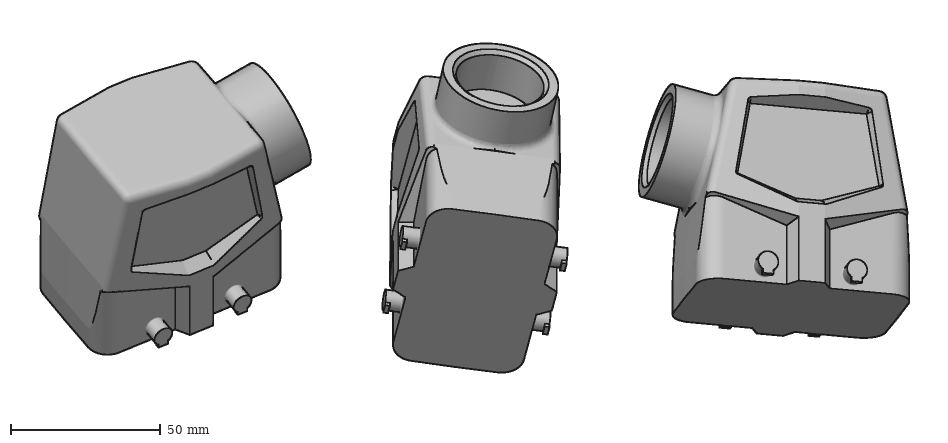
import cadquery as cq
import math

SKIRT_HALF_X = 22.3
SKIRT_HALF_Y = 37.0
SKIRT_CORNER_R = 7.7
TAPER_START_Z = 9.0

RIM_Z = 31.9
RIM_HALF_Y = 34.9
HOOD_TOP_Z = 72.4
HOOD_HALF_X = 27.1
END_LEAN = 10.8
CROWN = 0.5
SIDE_SLOPE = 0.15
HOOD_EDGE_R = 3.1

RIB_HALF_Y = 4.5
DRAFT = 31.5

UNDERSIDE_RISE_Y = 0.36
UNDERSIDE_RISE_X = 0.6
UNDERSIDE_Z = 21.0

POCKET_TOP_Z = 63.3
POCKET_TOP_HALF_Y = 20.2
POCKET_CORNER_Z = 38.0
POCKET_CORNER_HALF_Y = 24.5
POCKET_BOTTOM_Z = 31.0
POCKET_CORNER_R = 1.4

PEG_R = 3.5
PEG_Y = 15.4
PEG_Z = 5.6
PEG_END_X = 28.0
PEG_ROOT_R = 0.4
LUG_WIDTH = 3.65
LUG_THICKNESS = 1.65
LUG_BOTTOM_Z = 1.2

ENTRY_R = 19.7
ENTRY_MOUTH_Z = 55.35
ENTRY_BORE_R = 15.0
ENTRY_CHAMFER = 1.4
ENTRY_FILLET_R = 2.35

OVERALL_Y = 87.0
MARGIN = 8.7
TOLERANCE = 0.01
SELECT_CLEARANCE = 0.9

lean = math.radians(END_LEAN)
rib_depth = HOOD_HALF_X - SKIRT_HALF_X
rib_root_half_y = RIB_HALF_Y + rib_depth * math.tan(math.radians(DRAFT))
hood_base_half_y = RIM_HALF_Y + RIM_Z * math.tan(lean)
hood_top_half_y = RIM_HALF_Y - (HOOD_TOP_Z - RIM_Z) * math.tan(lean)


def mirrored_y(points):
    """Complete an outline in the YZ plane from its +Y half."""
    return points + [(-y, z) for y, z in reversed(points)]


def positive_x():
    """Block filling the whole +X side."""
    return cq.Workplane("XY").box(
        2 * OVERALL_Y, 2 * OVERALL_Y, 2 * OVERALL_Y, centered=(False, True, True)
    )


def lengthwise_prism(half_outline):
    """Prism running from X = 0 toward +X, its ends and top falling away slightly with X."""
    outline = cq.Workplane("YZ").polyline(mirrored_y(half_outline)).close()
    return outline.extrude(HOOD_HALF_X + MARGIN, taper=CROWN)


def make_skirt():
    """Footprint of the skirt's +X half, straight up to the rim, ends crowned like the hood."""
    corner_y = SKIRT_HALF_Y - SKIRT_HALF_X * math.tan(math.radians(CROWN))
    outline = [(0, SKIRT_HALF_Y), (SKIRT_HALF_X, corner_y), (SKIRT_HALF_X, -corner_y), (0, -SKIRT_HALF_Y)]
    block = cq.Workplane("XY").polyline(outline).close().extrude(RIM_Z)
    return block.edges(">X and |Z").fillet(SKIRT_CORNER_R)


def make_under_rim():
    """Space on the +X side, around the skirt and below the overhang, broken by the ribs."""
    flank_slope = (rib_root_half_y - RIB_HALF_Y) / rib_depth
    outer_x = HOOD_HALF_X + MARGIN
    outer_y = SKIRT_HALF_Y + MARGIN
    flank_at_center = rib_root_half_y + SKIRT_HALF_X * flank_slope
    flank_at_outer = RIB_HALF_Y - MARGIN * flank_slope
    quarter = (
        cq.Workplane("XY")
        .polyline([(0, flank_at_center), (outer_x, flank_at_outer), (outer_x, outer_y), (0, outer_y)])
        .close()
        .extrude(RIM_Z)
    )
    underside = cq.Plane(
        origin=(SKIRT_HALF_X, rib_root_half_y, UNDERSIDE_Z),
        normal=(-UNDERSIDE_RISE_X, -UNDERSIDE_RISE_Y, 1),
    )
    below = cq.Workplane(underside).rect(4 * SKIRT_HALF_Y, 4 * SKIRT_HALF_Y).extrude(-HOOD_TOP_Z)
    space = quarter.intersect(below)
    return space.union(space.mirror("XZ")).cut(make_skirt())


def is_outer_edge(edge):
    """True for the rim of the hood's top and the corners where its sides meet its ends."""
    center = edge.Center()
    off_ridge = abs(center.x) > SELECT_CLEARANCE
    on_top = center.z > HOOD_TOP_Z - SELECT_CLEARANCE
    on_corner = abs(center.y) > hood_top_half_y and center.z > SELECT_CLEARANCE
    return off_ridge and (on_top or on_corner)


def make_hood():
    """The +X half of the hood, run down to Z = 0 before the skirt is cut free."""
    end_half_x = HOOD_HALF_X - (hood_base_half_y - RIB_HALF_Y) * SIDE_SLOPE
    half_outline = [(0, hood_base_half_y), (end_half_x, hood_base_half_y), (HOOD_HALF_X, RIB_HALF_Y)]
    outline = half_outline + [(x, -y) for x, y in reversed(half_outline)]
    hood = cq.Workplane("XY").polyline(outline).close().extrude(HOOD_TOP_Z)
    hood = hood.intersect(lengthwise_prism([
        (hood_base_half_y + MARGIN * math.tan(lean), -MARGIN),
        (hood_top_half_y, HOOD_TOP_Z),
    ]))
    return hood.edges().filter(is_outer_edge).fillet(HOOD_EDGE_R)


def make_skirt_relief():
    """Material beyond the steeper ends of the skirt, below the rim."""
    slab = cq.Workplane("XY").rect(2 * HOOD_HALF_X, 4 * SKIRT_HALF_Y).extrude(RIM_Z)
    slab = slab.translate((HOOD_HALF_X, 0, 0))
    end_slope = (SKIRT_HALF_Y - RIM_HALF_Y) / (RIM_Z - TAPER_START_Z)
    return slab.cut(lengthwise_prism([
        (SKIRT_HALF_Y, -MARGIN),
        (SKIRT_HALF_Y, TAPER_START_Z),
        (RIM_HALF_Y - MARGIN * end_slope, RIM_Z + MARGIN),
    ]))


def make_pocket():
    """Pocket on the +X side, widening outward from its floor."""
    outline = mirrored_y([
        (RIB_HALF_Y, POCKET_BOTTOM_Z),
        (POCKET_CORNER_HALF_Y, POCKET_CORNER_Z),
        (POCKET_TOP_HALF_Y, POCKET_TOP_Z),
    ])
    pocket = (
        cq.Workplane("YZ", origin=(SKIRT_HALF_X, 0, 0))
        .polyline(outline)
        .close()
        .extrude(MARGIN, taper=-DRAFT)
    )
    walls = pocket.edges("not #X")
    corners = walls.filter(lambda edge: abs(edge.Center().y) > 2 * RIB_HALF_Y)
    return corners.fillet(POCKET_CORNER_R)


def make_peg(y):
    """Round peg on the +X side with a flared root and a lug under its tip."""
    wall = cq.Workplane("YZ", origin=(SKIRT_HALF_X, y, PEG_Z))
    length = PEG_END_X - SKIRT_HALF_X
    peg = wall.circle(PEG_R).extrude(length)
    root = (
        cq.Workplane("XY", origin=(SKIRT_HALF_X, y, PEG_Z))
        .moveTo(0, 0)
        .lineTo(0, PEG_R + PEG_ROOT_R)
        .radiusArc((PEG_ROOT_R, PEG_R), -PEG_ROOT_R)
        .lineTo(PEG_ROOT_R, 0)
        .close()
        .revolve(360, (0, 0, 0), (1, 0, 0))
    )
    lug = cq.Workplane("XY").box(
        LUG_THICKNESS, LUG_WIDTH, PEG_Z - LUG_BOTTOM_Z, centered=(False, True, False)
    ).translate((PEG_END_X - LUG_THICKNESS, y, LUG_BOTTOM_Z))
    return peg.union(root).union(lug)


entry_mouth_y = OVERALL_Y - SKIRT_HALF_Y - ENTRY_R * math.sin(lean)
entry_plane = cq.Plane(
    origin=(0, entry_mouth_y, ENTRY_MOUTH_Z),
    xDir=(1, 0, 0),
    normal=(0, math.cos(lean), math.sin(lean)),
)
hood_face_y = RIM_HALF_Y - (ENTRY_MOUTH_Z - RIM_Z) * math.tan(lean)
entry_length = (entry_mouth_y - hood_face_y) * math.cos(lean)


def on_tube(edge):
    """True for an edge lying on the tube's outer surface, clear of its mouth."""
    for fraction in (0.0, 0.3, 0.6):
        spot = entry_plane.toLocalCoords(edge.positionAt(fraction))
        if abs(math.hypot(spot.x, spot.y) - ENTRY_R) > TOLERANCE or spot.z > -MARGIN:
            return False
    return True


def add_entry(hood):
    """Cable entry tube blended into the hood, with a bore chamfered at its mouth."""
    tube = cq.Workplane(entry_plane).circle(ENTRY_R).extrude(-entry_length - MARGIN)
    tube = tube.intersect(positive_x())
    blended = hood.union(tube).edges().filter(on_tube).fillet(ENTRY_FILLET_R)
    bore = cq.Workplane(entry_plane).circle(ENTRY_BORE_R).extrude(-entry_length)
    mouth = (
        cq.Workplane(entry_plane)
        .circle(ENTRY_BORE_R + ENTRY_CHAMFER)
        .workplane(offset=-ENTRY_CHAMFER)
        .circle(ENTRY_BORE_R)
        .loft()
    )
    return blended.cut(bore).cut(mouth)


half = add_entry(make_hood())
half = half.cut(make_skirt_relief()).cut(make_under_rim()).cut(make_pocket())
for peg_y in (-PEG_Y, PEG_Y):
    half = half.union(make_peg(peg_y))
result = half.union(half.mirror("YZ"))